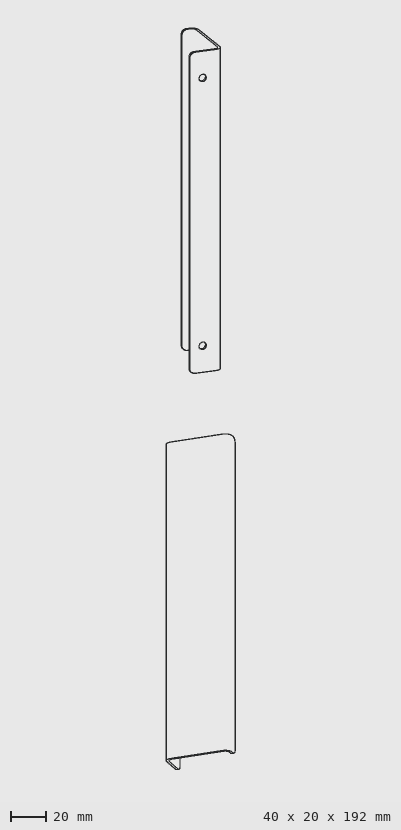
import cadquery as cq

width = 40.0
depth = 20.0
height = 192.0

thickness = 1.5
bend_outer_radius = 4.0
bend_inner_radius = bend_outer_radius - thickness

short_flange_depth = 9.0
corner_radius = 3.0

hole_diameter = 4.5
hole_from_web = 12.0
hole_from_end = 16.0


def make_channel():
    """Bent channel with a short flange at -X and a long flange at +X."""
    left = -width / 2
    right = width / 2
    back = depth / 2
    profile = [
        (left, back),
        (right, back),
        (right, back - depth),
        (right - thickness, back - depth),
        (right - thickness, back - thickness),
        (left + thickness, back - thickness),
        (left + thickness, back - short_flange_depth),
        (left, back - short_flange_depth),
    ]
    channel = cq.Workplane("XY").workplane(offset=-height / 2).polyline(profile).close().extrude(height)
    inner_edges = cq.selectors.BoxSelector(
        (left + thickness / 2, back - 1.5 * thickness, -height),
        (right - thickness / 2, back - thickness / 2, height),
    )
    channel = channel.edges("|Z").edges(inner_edges).fillet(bend_inner_radius)
    return channel.edges("|Z and >Y").fillet(bend_outer_radius)


def round_flange_corners(channel):
    """Round the free corners at both ends of each flange."""
    channel = channel.faces("<Y").edges("|X").fillet(corner_radius)
    short_flange = cq.selectors.BoxSelector(
        (-width, depth / 2 - short_flange_depth - thickness / 2, -height),
        (-width / 2 + thickness, depth / 2 - short_flange_depth + thickness / 2, height),
    )
    return channel.edges("|X").edges(short_flange).fillet(corner_radius)


def make_hole_cutters():
    """One cylinder near each end, passing through the long flange only."""
    hole_height = height / 2 - hole_from_end
    return (
        cq.Workplane("YZ")
        .workplane(offset=width / 2 - 2 * thickness)
        .pushPoints([(depth / 2 - hole_from_web, z) for z in (-hole_height, hole_height)])
        .circle(hole_diameter / 2)
        .extrude(3 * thickness)
    )


result = round_flange_corners(make_channel()).cut(make_hole_cutters())